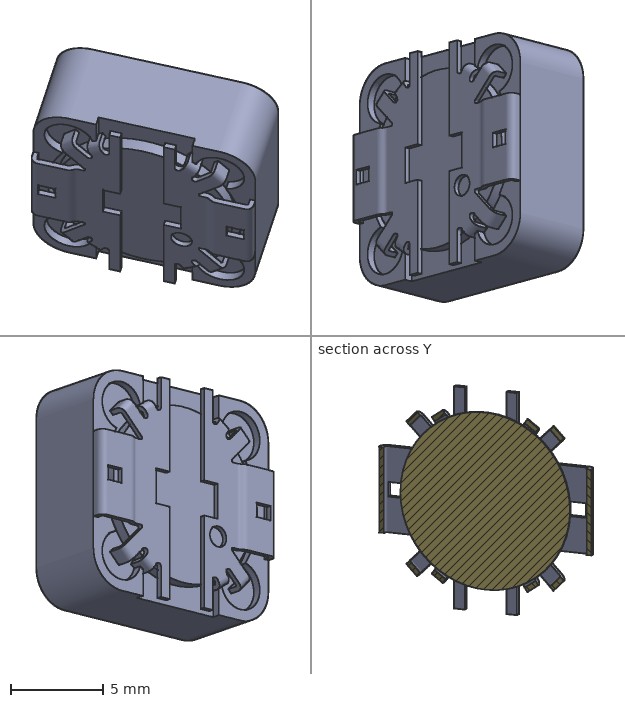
import cadquery as cq
import math


side = 12.5
half_side = side / 2
sheet = 0.3
housing_back = 0.5
housing_front = 5.3
drum_front = 5.5
pad_front = 6.0
recess_depth = 0.5
recess_floor = housing_front - recess_depth
frame_front = drum_front + sheet

housing_corner_radius = 2.02
drum_radius = 5.0
bore_radius = 5.45
pocket_radius = 1.38
pocket_center = 4.25
channel_width = 5.42

frame_inner = 1.22
arm_outer = 1.85
notch_inner = 2.2
notch_half_height = 1.0
flat_outer = 3.59
pad_half_height = 2.42
mark_radius = 0.59
mark_x = 2.22
mark_z = -2.0

bend_inner_radius = 0.1
bend_outer_radius = bend_inner_radius + sheet
rim_finger_angle = 125.0
rim_finger_upper = 0.76
rim_finger_lower = -0.05
rim_finger_reach = 5.42
corner_finger_angle = 135.0
corner_finger_half = 0.45
corner_finger_reach = 6.12
slot_radius = 0.18
relief_radius = 0.1

jog_angle = 30.0
jog_first_inner_radius = 0.38
jog_second_inner_radius = 0.25
window_inner = 4.81
window_outer = 5.8
window_height = 0.82


def at_depth(depth):
    """Workplane whose drawing side faces -Y, at the given depth."""
    return cq.Workplane("XZ").workplane(offset=depth)


def polar(radius, degrees):
    angle = math.radians(degrees)
    return cq.Vector(radius * math.cos(angle), radius * math.sin(angle))



def recess_cutter():
    """Annular recess around the drum, with a cross channel and four corner pockets."""
    base = at_depth(recess_floor)
    cutter = base.circle(bore_radius).extrude(recess_depth)
    cutter = cutter.union(base.rect(channel_width, side).extrude(recess_depth))
    pockets = base.rect(2 * pocket_center, 2 * pocket_center, forConstruction=True).vertices()
    return cutter.union(pockets.circle(pocket_radius).extrude(recess_depth))


def make_core():
    """Square housing closed around a drum that stands proud at both ends."""
    housing = at_depth(housing_back).rect(side, side).extrude(housing_front - housing_back)
    housing = housing.edges("|Y").fillet(housing_corner_radius)
    drum = at_depth(0).circle(drum_radius).extrude(drum_front)
    return housing.cut(recess_cutter()).union(drum)



arm_edge = (180.0, arm_outer)
rim_upper_edge = (rim_finger_angle - 90, rim_finger_upper)
rim_lower_edge = (rim_finger_angle + 90, -rim_finger_lower)
corner_upper_edge = (corner_finger_angle - 90, corner_finger_half)
corner_lower_edge = (corner_finger_angle + 90, corner_finger_half)
pad_edge = (90.0, pad_half_height)


def crossing(edge_a, edge_b):
    """Point where two edge lines cross."""
    normal_a, distance_a = polar(1, edge_a[0]), edge_a[1]
    normal_b, distance_b = polar(1, edge_b[0]), edge_b[1]
    determinant = normal_a.x * normal_b.y - normal_a.y * normal_b.x
    x = (distance_a * normal_b.y - distance_b * normal_a.y) / determinant
    y = (distance_b * normal_a.x - distance_a * normal_b.x) / determinant
    return cq.Vector(x, y)


def add_slot(outline, edge_a, edge_b, radius):
    """Run the outline down edge_a, around a slot end of this radius, ready to leave along edge_b."""
    center = crossing((edge_a[0], edge_a[1] + radius), (edge_b[0], edge_b[1] + radius))
    foot_a = center - polar(radius, edge_a[0])
    foot_b = center - polar(radius, edge_b[0])
    middle = center - (polar(1, edge_a[0]) + polar(1, edge_b[0])).normalized() * radius
    return outline.lineTo(foot_a.x, foot_a.y).threePointArc((middle.x, middle.y), (foot_b.x, foot_b.y))


def finger_corner(angle, reach, sideways):
    """Point where a finger starts to bend, sideways from its radial line toward the arm."""
    return polar(reach - bend_outer_radius, angle) + polar(sideways, angle - 90)


def make_flat_half():
    """Upper half of the flat sheet of the left lead frame, without its pad."""
    outline = at_depth(drum_front).moveTo(-notch_inner, 0)
    outline = outline.lineTo(-notch_inner, notch_half_height)
    outline = outline.lineTo(-frame_inner, notch_half_height)
    outline = outline.lineTo(-frame_inner, half_side)
    outline = outline.lineTo(-arm_outer, half_side)
    outline = add_slot(outline, arm_edge, rim_upper_edge, slot_radius)
    for sideways in (rim_finger_upper, rim_finger_lower):
        corner = finger_corner(rim_finger_angle, rim_finger_reach, sideways)
        outline = outline.lineTo(corner.x, corner.y)
    outline = add_slot(outline, rim_lower_edge, corner_upper_edge, slot_radius)
    for sideways in (corner_finger_half, -corner_finger_half):
        corner = finger_corner(corner_finger_angle, corner_finger_reach, sideways)
        outline = outline.lineTo(corner.x, corner.y)
    outline = add_slot(outline, corner_lower_edge, pad_edge, relief_radius)
    outline = outline.lineTo(-flat_outer, pad_half_height)
    return outline.lineTo(-flat_outer, 0).close().extrude(sheet)


def walk(moves):
    """Follow the middle of a bent strip; list (point, heading) at each end and, for bends, midway.

    A move is ("straight", length) or ("bend", turn, inner radius); positive turns go toward -Y.
    """
    point, heading = cq.Vector(0, 0), 0.0
    stations = [[(point, heading)]]
    for kind, amount, *radius in moves:
        if kind == "straight":
            point = point + polar(amount, heading)
            stations.append([(point, heading)])
            continue
        toward_center = math.copysign(90, amount)
        middle_radius = radius[0] + sheet / 2
        center = point + polar(middle_radius, heading + toward_center)
        stops = []
        for turned in (amount / 2, amount):
            stop = center - polar(middle_radius, heading + turned + toward_center)
            stops.append((stop, heading + turned))
        stations.append(stops)
        point, heading = stops[-1]
    return stations


def add_run(outline, points):
    """Continue the outline with a line to one point or an arc through two."""
    if len(points) == 1:
        return outline.lineTo(points[0].x, points[0].y)
    return outline.threePointArc((points[0].x, points[0].y), (points[1].x, points[1].y))


def make_strip(start, angle, width, moves):
    """Bent sheet strip that leaves the flat sheet at the start point, in the direction of the angle."""
    outward = polar(1, angle)
    plane = cq.Plane(
        origin=(start.x, -(drum_front + sheet / 2), start.y),
        xDir=(outward.x, 0, outward.y),
        normal=(outward.y, 0, -outward.x),
    )
    stations = walk(moves)
    front = []
    back = []
    for stops in stations:
        front.append([point + polar(sheet / 2, heading + 90) for point, heading in stops])
        back.append([point + polar(sheet / 2, heading - 90) for point, heading in stops])
    outline = cq.Workplane(plane).moveTo(back[0][0].x, back[0][0].y)
    for points in front:
        outline = add_run(outline, points)
    outline = outline.lineTo(back[-1][-1].x, back[-1][-1].y)
    for index in range(len(back) - 1, 0, -1):
        outline = add_run(outline, back[index][-2::-1] + [back[index - 1][-1]])
    return outline.close().extrude(width / 2, both=True)


def make_finger(angle, reach, upper, lower):
    """Finger bent square toward the back, its tip resting on the recess floor."""
    start = finger_corner(angle, reach, (upper + lower) / 2)
    leg_length = frame_front - bend_outer_radius - recess_floor
    moves = [("bend", -90, bend_inner_radius), ("straight", leg_length)]
    return make_strip(start, angle, upper - lower, moves)


def make_pad():
    """Solder pad: a jog out from the flat sheet, the pad itself, and a lip back to the housing."""
    tilt = math.radians(jog_angle)
    bend_radii = jog_first_inner_radius + jog_second_inner_radius + sheet
    rise = pad_front - frame_front
    ramp_length = (rise - bend_radii * (1 - math.cos(tilt))) / math.sin(tilt)
    jog_run = bend_radii * math.sin(tilt) + ramp_length * math.cos(tilt)
    pad_length = half_side - bend_outer_radius - flat_outer - jog_run
    lip_length = pad_front - bend_outer_radius - housing_front
    moves = [
        ("bend", jog_angle, jog_first_inner_radius),
        ("straight", ramp_length),
        ("bend", -jog_angle, jog_second_inner_radius),
        ("straight", pad_length),
        ("bend", -90, bend_inner_radius),
        ("straight", lip_length),
    ]
    pad = make_strip(cq.Vector(-flat_outer, 0), 180, 2 * pad_half_height, moves)
    window_middle = (window_inner + window_outer) / 2
    window = at_depth(drum_front).center(-window_middle, 0)
    window = window.rect(window_outer - window_inner, window_height).extrude(pad_front - drum_front)
    return pad.cut(window)


def make_left_frame():
    """Left lead frame: flat sheet and folded fingers mirrored about mid-height, and the pad."""
    half = make_flat_half()
    half = half.union(make_finger(rim_finger_angle, rim_finger_reach, rim_finger_upper, rim_finger_lower))
    half = half.union(
        make_finger(corner_finger_angle, corner_finger_reach, corner_finger_half, -corner_finger_half)
    )
    return half.union(half.mirror("XY")).union(make_pad())


def make_right_frame():
    """Mirror image of the left lead frame, with a round polarity hole."""
    hole = at_depth(drum_front).center(mark_x, mark_z).circle(mark_radius).extrude(sheet)
    return make_left_frame().mirror("YZ").cut(hole)


core = make_core()
left_frame = make_left_frame()
right_frame = make_right_frame()
result = cq.Compound.makeCompound([body.solids().val() for body in (core, left_frame, right_frame)])